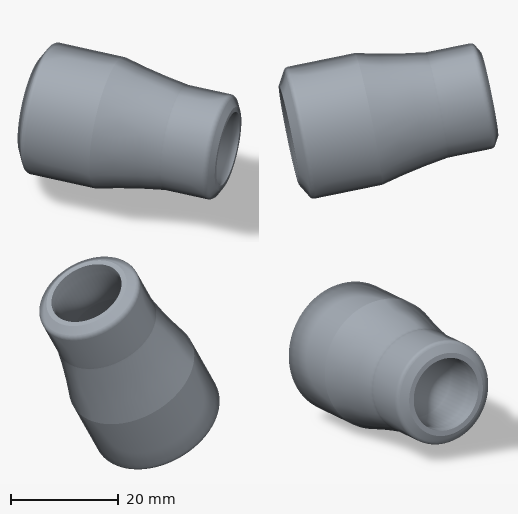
import cadquery as cq
import math

length = 38.0
wide_diameter = 25.0
narrow_diameter = 20.0
wide_bore_diameter = 17.0
narrow_bore_diameter = 14.0

taper_start = 15.0
taper_end = 28.0
bore_taper_start = length - taper_end
taper_sag = 0.2

root_face = 1.0
bevel_angle = 30.0
bevel_blend_radius = 1.0
bore_chamfer = 0.35

wide_radius = wide_diameter / 2
narrow_radius = narrow_diameter / 2
wide_bore_radius = wide_bore_diameter / 2
narrow_bore_radius = narrow_bore_diameter / 2


def bevel_depth(outer_radius, bore_radius):
    """Axial depth of the weld bevel, ignoring its blend."""
    return (outer_radius - bore_radius - root_face) * math.tan(math.radians(bevel_angle))


def taper_middle(start_x, start_radius, end_radius):
    """Middle point of a slightly concave taper between two radii."""
    return ((start_x + taper_end) / 2, (start_radius + end_radius) / 2 - taper_sag)


def revolve_about_x(profile):
    return profile.close().revolve(360, (0, 0, 0), (1, 0, 0))


wide_bevel_depth = bevel_depth(wide_radius, wide_bore_radius)
narrow_bevel_depth = bevel_depth(narrow_radius, narrow_bore_radius)
body = revolve_about_x(
    cq.Workplane("XY")
    .moveTo(0, 0)
    .lineTo(0, wide_bore_radius + root_face)
    .lineTo(wide_bevel_depth, wide_radius)
    .lineTo(taper_start, wide_radius)
    .threePointArc(
        taper_middle(taper_start, wide_radius, narrow_radius), (taper_end, narrow_radius)
    )
    .lineTo(length - narrow_bevel_depth, narrow_radius)
    .lineTo(length, narrow_bore_radius + root_face)
    .lineTo(length, 0)
)

edge_search_margin = 0.05
for bevel_edge_x in (wide_bevel_depth, length - narrow_bevel_depth):
    bevel_edge = cq.selectors.BoxSelector(
        (bevel_edge_x - edge_search_margin, -length, -length),
        (bevel_edge_x + edge_search_margin, length, length),
    )
    body = body.edges(bevel_edge).fillet(bevel_blend_radius)

bore = revolve_about_x(
    cq.Workplane("XY")
    .moveTo(0, 0)
    .lineTo(0, wide_bore_radius + bore_chamfer)
    .lineTo(bore_chamfer, wide_bore_radius)
    .lineTo(bore_taper_start, wide_bore_radius)
    .threePointArc(
        taper_middle(bore_taper_start, wide_bore_radius, narrow_bore_radius),
        (taper_end, narrow_bore_radius),
    )
    .lineTo(length, narrow_bore_radius)
    .lineTo(length, 0)
)

result = body.cut(bore)